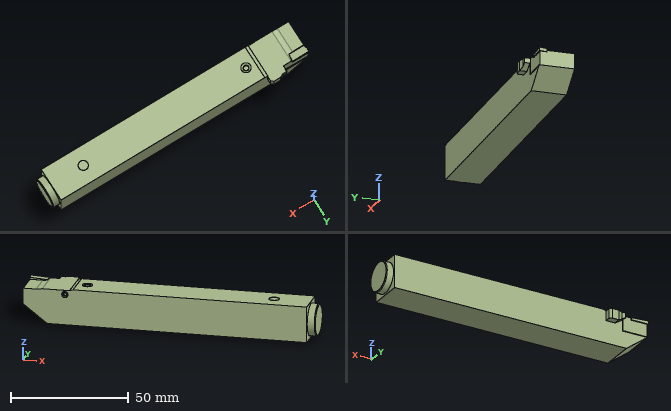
import cadquery as cq

total_length = 128.3
shank_size = 16.0
plug_length = 3.5
shank_end = total_length - plug_length
mid_width = shank_size / 2

nose_x = 0.5
nose_bottom_z = 8.1
underside_start_x = 11.0
ledge_z = shank_size - 0.9
ledge_end_x = 6.3
clamp_z = shank_size - 0.5
clamp_start_x = 9.0
clamp_end_x = 20.9
shank_top_x = 22.5

relief_depth = 0.4

insert_length = 8.6
insert_width = 3.6
insert_depth = 1.7
insert_back_z = shank_size - 0.5
insert_back_taper = 0.4

tab_start_x = 12.8
tab_shoulder_x = 14.8
tab_crest_x = 16.7
tab_round_x = 19.9
tab_end_x = 21.0
tab_reach = 3.3
tab_shoulder_reach = 2.5
tab_bottom_z = 10.8
tab_nose_z = 13.2

screw_x = 27.0
screw_diameter = 4.4
socket_diameter = 2.5
screw_recess = 0.1
socket_depth = 1.3
rear_plug_x = 108.7
rear_plug_recess = 0.1
side_screw_x = 18.9
side_screw_z = shank_size - 2.5
side_screw_diameter = 2.7
side_socket_diameter = 1.5

plug_diameter = 14.1
plug_chamfer = 0.4


def side_profile(points, width, back_y):
    """Extrude an XZ outline toward -Y from the plane y = back_y."""
    return cq.Workplane("XZ", origin=(0, back_y, 0)).polyline(points).close().extrude(width)


def make_holder():
    holder = (
        cq.Workplane("XZ", origin=(0, shank_size, 0))
        .moveTo(clamp_start_x, clamp_z)
        .lineTo(clamp_end_x, clamp_z)
        .lineTo(shank_top_x, shank_size)
        .lineTo(shank_end, shank_size)
        .lineTo(shank_end, 0)
        .lineTo(underside_start_x, 0)
        .lineTo(nose_x, nose_bottom_z)
        .lineTo(nose_x, ledge_z)
        .lineTo(ledge_end_x, ledge_z)
        .tangentArcPoint((clamp_start_x, clamp_z), relative=False)
        .close()
        .extrude(shank_size)
    )
    relief = cq.Workplane("XY").box(
        tab_start_x, relief_depth, shank_size - nose_bottom_z, centered=False
    ).translate((0, shank_size - relief_depth, nose_bottom_z))
    return holder.cut(relief)


def make_insert():
    outline = [
        (0, shank_size),
        (insert_length, insert_back_z),
        (insert_length, shank_size - insert_depth),
        (0, shank_size - insert_depth),
    ]
    body = side_profile(outline, insert_width, shank_size)
    plan = [
        (0, shank_size),
        (insert_length, shank_size),
        (insert_length - insert_back_taper, shank_size - insert_width),
        (nose_x, shank_size - insert_width),
    ]
    return body.intersect(cq.Workplane("XY").polyline(plan).close().extrude(shank_size))


def make_clamp_tab():
    plan = [
        (tab_start_x, mid_width),
        (tab_start_x, shank_size + tab_shoulder_reach),
        (tab_shoulder_x, shank_size + tab_shoulder_reach),
        (tab_crest_x, shank_size + tab_reach),
        (tab_round_x, shank_size + tab_reach),
        (tab_end_x, shank_size + tab_shoulder_reach),
        (tab_end_x, mid_width),
    ]
    side = [
        (tab_start_x, clamp_z),
        (tab_start_x, tab_nose_z),
        (tab_crest_x, tab_bottom_z),
        (tab_end_x, tab_bottom_z),
        (tab_end_x, clamp_z),
    ]
    tab = cq.Workplane("XY").polyline(plan).close().extrude(shank_size)
    return tab.intersect(side_profile(side, shank_size + tab_reach, shank_size + tab_reach))


def make_coolant_plug():
    return (
        cq.Workplane("YZ", origin=(shank_end, mid_width, mid_width))
        .circle(plug_diameter / 2)
        .extrude(plug_length)
        .faces(">X")
        .chamfer(plug_chamfer)
    )


def recess(plane, origin, diameter, depth):
    """Blind round hole cut against the normal of the plane."""
    return cq.Workplane(plane, origin=origin).circle(diameter / 2).extrude(-depth)


result = make_holder().union(make_insert()).union(make_clamp_tab()).union(make_coolant_plug())

top_screw = (screw_x, mid_width, shank_size)
rear_plug = (rear_plug_x, mid_width, shank_size)
side_screw = (side_screw_x, 0, side_screw_z)
recesses = [
    ("XY", top_screw, screw_diameter, screw_recess),
    ("XY", top_screw, socket_diameter, socket_depth),
    ("XY", rear_plug, screw_diameter, rear_plug_recess),
    ("XZ", side_screw, side_screw_diameter, screw_recess),
    ("XZ", side_screw, side_socket_diameter, socket_depth),
]
for plane, origin, diameter, depth in recesses:
    result = result.cut(recess(plane, origin, diameter, depth))